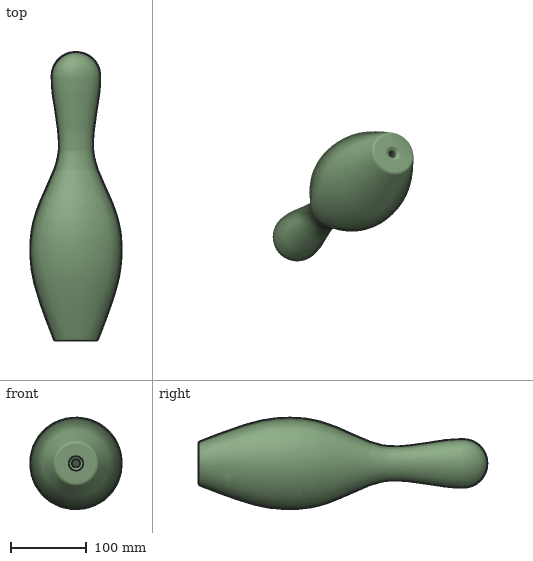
import cadquery as cq
import math

INCH = 25.4

pin_length = 15 * INCH
head_radius = 2.547 * INCH / 2
head_centre = pin_length - head_radius

base_face_radius = 2.031 * INCH / 2
base_corner_radius = 5 / 32 * INCH
base_flare_slope = 0.385

belly_gauges = [
    (0.75, 2.828),
    (2.25, 3.906),
    (3.375, 4.510),
    (4.5, 4.762),
    (5.875, 4.563),
    (7.25, 3.703),
    (8.625, 2.472),
]

neck_joints = [
    (225.5, 28.85, -0.372),
    (250.7, 23.02, -0.079),
    (278.3, 23.95, 0.100),
    (303.5, 27.49, 0.185),
    (head_centre, head_radius, 0),
]

hole_diameter = 27 / 64 * INCH
countersink_diameter = 3 / 4 * INCH
countersink_depth = 1 / 8 * INCH
hole_depth = 25.0


def outline_point(height, radius):
    """Point of the outline, drawn on the -X side of the Y axis."""
    return (-radius, height)


def outline_direction(slope):
    """Direction along the outline, toward the head, for a given slope of the radius."""
    return (-slope, 1)


def turn(profile):
    """Revolve a closed half profile about the Y axis."""
    return profile.close().revolve(360, (0, 0, 0), (0, 1, 0))


def make_pin_body():
    turn_angle = math.pi / 2 - math.atan(base_flare_slope)

    def corner_point(angle):
        radius = base_face_radius + base_corner_radius * math.sin(angle)
        height = base_corner_radius * (1 - math.cos(angle))
        return outline_point(height, radius)

    profile = (
        cq.Workplane("XY")
        .lineTo(*outline_point(0, base_face_radius))
        .threePointArc(corner_point(turn_angle / 2), corner_point(turn_angle))
    )

    height, radius, slope = neck_joints[0]
    belly_points = [outline_point(h * INCH, d * INCH / 2) for h, d in belly_gauges]
    belly_points.append(outline_point(height, radius))
    profile = profile.spline(
        belly_points,
        tangents=[outline_direction(base_flare_slope), outline_direction(slope)],
        includeCurrent=True,
    )

    for height, radius, next_slope in neck_joints[1:]:
        profile = profile.spline(
            [outline_point(height, radius)],
            tangents=[outline_direction(slope), outline_direction(next_slope)],
            includeCurrent=True,
        )
        slope = next_slope

    head_diagonal = head_radius * math.sqrt(0.5)
    profile = profile.threePointArc(
        outline_point(head_centre + head_diagonal, head_diagonal),
        outline_point(pin_length, 0),
    )
    return turn(profile)


def make_base_hole():
    hole_radius = hole_diameter / 2
    profile = (
        cq.Workplane("XY")
        .lineTo(*outline_point(0, countersink_diameter / 2))
        .lineTo(*outline_point(countersink_depth, hole_radius))
        .lineTo(*outline_point(hole_depth, hole_radius))
        .lineTo(*outline_point(hole_depth, 0))
    )
    return turn(profile)


result = make_pin_body().cut(make_base_hole())